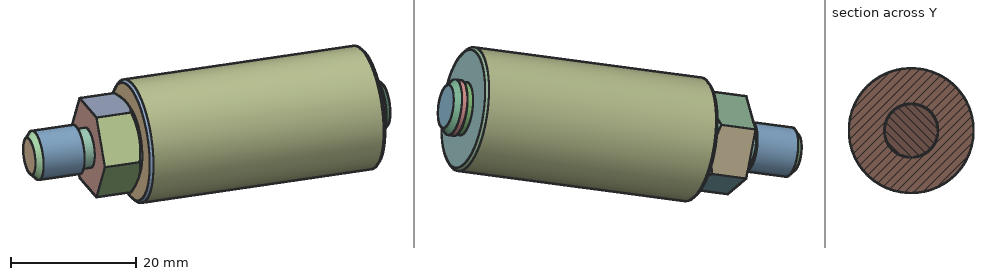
import cadquery as cq
import math

OVERALL_LENGTH = 60.0
FRONT_END = -OVERALL_LENGTH / 2
REAR_END = OVERALL_LENGTH / 2

ROLLER_DIAMETER = 20.0
ROLLER_BORE = 8.6
ROLLER_CHAMFER = 0.5

SHAFT_DIAMETER = 8.5
HEAD_DIAMETER = 9.0
HEAD_LENGTH = 2.0
HEAD_OVERHANG = 3.0
STUD_DIAMETER = 8.0
STUD_LENGTH = 8.0
NECK_DIAMETER = 6.5
NECK_LENGTH = 2.0
END_CHAMFER = 1.0

HEX_ACROSS_FLATS = 14.0
HEX_ACROSS_CORNERS = HEX_ACROSS_FLATS / math.cos(math.radians(30))
HEX_LENGTH = 7.1
HEX_FACE_DIAMETER = 12.0
HEX_CHAMFER_ANGLE = 30.0

NECK_START = FRONT_END + STUD_LENGTH
HEX_START = NECK_START + NECK_LENGTH
ROLLER_START = HEX_START + HEX_LENGTH
ROLLER_END = REAR_END - HEAD_OVERHANG
HEAD_START = REAR_END - HEAD_LENGTH


def plane_at(y):
    """Plane across the axis at y, with its normal along +Y and local x along +X."""
    return cq.Workplane(cq.Plane(origin=(0, y, 0), xDir=(1, 0, 0), normal=(0, 1, 0)))


def cylinder(diameter, start, end):
    return plane_at(start).circle(diameter / 2).extrude(end - start)


def make_roller():
    """Plain sleeve, bored through, with both outer rims chamfered."""
    sleeve = cylinder(ROLLER_DIAMETER, ROLLER_START, ROLLER_END)
    sleeve = sleeve.faces("<Y or >Y").edges().chamfer(ROLLER_CHAMFER)
    return sleeve.cut(cylinder(ROLLER_BORE, ROLLER_START, ROLLER_END))


def make_hex_collar():
    """Hexagon with corners on X, its roller-side corners cut by a cone."""
    hexagon = plane_at(HEX_START).polygon(6, HEX_ACROSS_CORNERS).extrude(HEX_LENGTH)
    face_radius = HEX_FACE_DIAMETER / 2
    corner_radius = HEX_ACROSS_CORNERS / 2
    cone_depth = (corner_radius - face_radius) * math.tan(math.radians(HEX_CHAMFER_ANGLE))
    envelope = (
        cq.Workplane("XY")
        .moveTo(0, HEX_START)
        .lineTo(corner_radius, HEX_START)
        .lineTo(corner_radius, ROLLER_START - cone_depth)
        .lineTo(face_radius, ROLLER_START)
        .lineTo(0, ROLLER_START)
        .close()
        .revolve(360, (0, 0, 0), (0, 1, 0))
    )
    return hexagon.intersect(envelope)


def make_axle():
    """Stud, neck, hexagonal collar, shaft and snap-in head in one piece."""
    stud = cylinder(STUD_DIAMETER, FRONT_END, NECK_START).faces("<Y").chamfer(END_CHAMFER)
    neck = cylinder(NECK_DIAMETER, NECK_START, HEX_START)
    shaft = cylinder(SHAFT_DIAMETER, ROLLER_START, HEAD_START)
    head = cylinder(HEAD_DIAMETER, HEAD_START, REAR_END).faces(">Y").chamfer(END_CHAMFER)
    return stud.union(neck).union(make_hex_collar()).union(shaft).union(head)


roller = make_roller()
axle = make_axle()

result = cq.Compound.makeCompound([*roller.solids().vals(), *axle.solids().vals()])